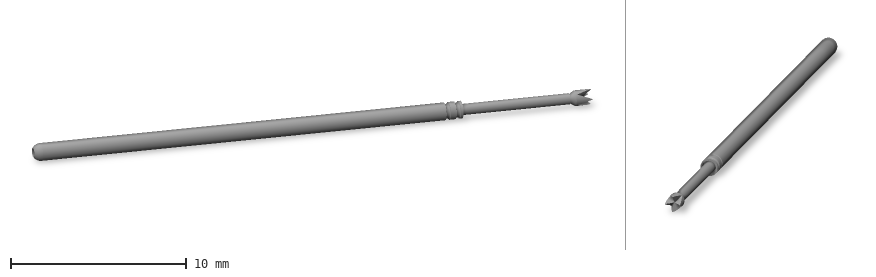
import cadquery as cq
import math


total_length = 33.1
barrel_radius = 0.51
barrel_length = 25.4
vent_radius = 0.26
vent_depth = 0.2

mouth_radius = 0.4
mouth_depth = 0.2

inner_crimp_start = 24.4
crimp_width = 0.25
crimp_depth = 0.09
ring_width = 0.35

plunger_radius = 0.32
neck_radius = 0.25
head_radius = 0.45
head_length = 0.97
cone_length = 0.33

point_count = 4
groove_depth_at_axis = 0.5
groove_depth_at_rim = 0.9

outer_crimp_start = inner_crimp_start + crimp_width + ring_width
mouth_floor = barrel_length - mouth_depth
head_start = total_length - head_length
cone_start = head_start - cone_length


def turned_body():
    """Revolve the half profile, drawn as (distance along Y, radius along Z), about Y."""
    sphere_center = math.sqrt(barrel_radius**2 - vent_radius**2)
    arc_mid_angle = math.acos(vent_radius / barrel_radius) / 2
    arc_mid = (
        sphere_center - barrel_radius * math.sin(arc_mid_angle),
        barrel_radius * math.cos(arc_mid_angle),
    )
    profile = (
        cq.Workplane("YZ")
        .moveTo(vent_depth, 0)
        .lineTo(vent_depth, vent_radius)
        .lineTo(0, vent_radius)
        .threePointArc(arc_mid, (sphere_center, barrel_radius))
        .lineTo(barrel_length, barrel_radius)
        .lineTo(barrel_length, mouth_radius)
        .lineTo(mouth_floor, mouth_radius)
        .lineTo(mouth_floor, plunger_radius)
        .lineTo(cone_start, plunger_radius)
        .lineTo(cone_start, neck_radius)
        .lineTo(head_start, head_radius)
        .lineTo(total_length, head_radius)
        .lineTo(total_length, 0)
        .close()
    )
    return profile.revolve(360, (0, 0, 0), (1, 0, 0))


def crimp_groove(start):
    """Round-bottomed ring removed around the barrel by one crimp."""
    profile = (
        cq.Workplane("YZ")
        .moveTo(start, barrel_radius)
        .threePointArc(
            (start + crimp_width / 2, barrel_radius - crimp_depth),
            (start + crimp_width, barrel_radius),
        )
        .close()
    )
    return profile.revolve(360, (0, 0, 0), (1, 0, 0))


def crown_groove(direction):
    """V groove running outwards and downwards from the axis, turned about Y to the given direction."""
    depth_slope = (groove_depth_at_rim - groove_depth_at_axis) / head_radius
    half_pitch = math.pi / point_count
    depth_at_point = groove_depth_at_axis + depth_slope * head_radius * math.cos(half_pitch)
    flank_slope = head_radius * math.sin(half_pitch) / depth_at_point

    def section(distance):
        depth = groove_depth_at_axis + depth_slope * distance
        half_width = depth * flank_slope
        return cq.Wire.makePolygon(
            [
                cq.Vector(-half_width, total_length, distance),
                cq.Vector(0, total_length - depth, distance),
                cq.Vector(half_width, total_length, distance),
            ],
            close=True,
        )

    wedge = cq.Solid.makeLoft([section(0), section(2 * head_radius)], True)
    return cq.Workplane(wedge).rotate((0, 0, 0), (0, 1, 0), direction)


result = turned_body()
for crimp_start in (inner_crimp_start, outer_crimp_start):
    result = result.cut(crimp_groove(crimp_start))
for index in range(point_count):
    result = result.cut(crown_groove((index + 0.5) * 360 / point_count))